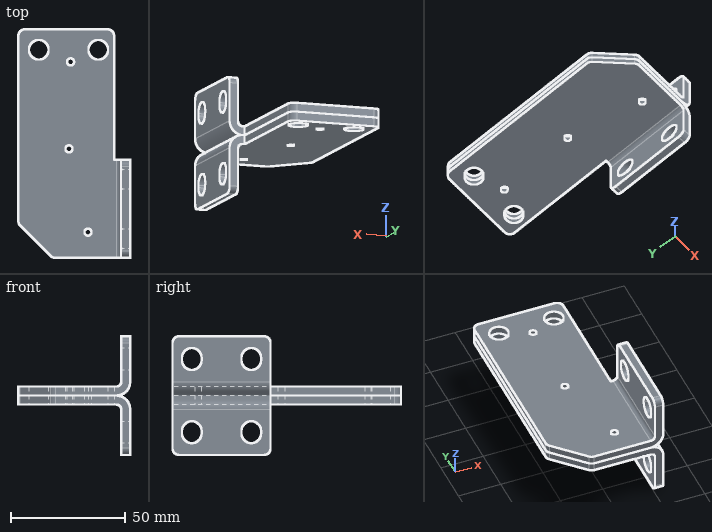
import cadquery as cq

THICKNESS = 4.0
INNER_BEND_RADIUS = 2.0
OUTER_BEND_RADIUS = INNER_BEND_RADIUS + THICKNESS
CORNER_RADIUS = 3.0
TOTAL_WIDTH = 49.0
PLATE_LENGTH = 100.0
PLATE_WIDTH = 42.0
FLANGE_LENGTH = 43.0
FLANGE_HEIGHT = 26.0
CORNER_CUT = 15.0
BEND_START = TOTAL_WIDTH - OUTER_BEND_RADIUS

MOUNT_HOLE_DIAMETER = 8.5
MOUNT_HOLE_INSET = 9.0
MOUNT_HOLE_SPACING = 26.0
SMALL_HOLE_DIAMETER = 3.0
SMALL_HOLE_CENTERS = [(22.9, 85.7), (22.2, 47.7), (30.5, 11.3)]

SLOT_WIDTH = 8.5
SLOT_LENGTH = 9.5
SLOT_SPACING = 26.0
SLOT_CENTER_HEIGHT = 16.0


def make_plate():
    """Flat plate on Z = 0 with rounded corners and one corner cut off."""
    outline = [
        (CORNER_CUT, 0),
        (BEND_START, 0),
        (BEND_START, FLANGE_LENGTH),
        (PLATE_WIDTH, FLANGE_LENGTH),
        (PLATE_WIDTH, PLATE_LENGTH),
        (0, PLATE_LENGTH),
        (0, CORNER_CUT),
    ]
    plate = cq.Workplane("XY").polyline(outline).close().extrude(THICKNESS)
    far_corners = plate.edges("|Z").edges(">Y")
    left_corners = plate.edges("|Z").edges("<X")
    cut_corner = plate.edges("|Z").edges(cq.selectors.NearestToPointSelector((CORNER_CUT, 0, 0)))
    return plate.newObject(far_corners.add(left_corners).add(cut_corner).vals()).fillet(CORNER_RADIUS)


def make_flange():
    """Bend and upright flange along the right side of the plate."""
    bend_center = (BEND_START, OUTER_BEND_RADIUS)
    inner_face = TOTAL_WIDTH - THICKNESS
    flange = (
        cq.Workplane("XZ")
        .moveTo(BEND_START, 0)
        .radiusArc((TOTAL_WIDTH, bend_center[1]), -OUTER_BEND_RADIUS)
        .lineTo(TOTAL_WIDTH, FLANGE_HEIGHT)
        .lineTo(inner_face, FLANGE_HEIGHT)
        .lineTo(inner_face, bend_center[1])
        .radiusArc((BEND_START, THICKNESS), INNER_BEND_RADIUS)
        .close()
        .extrude(-FLANGE_LENGTH)
    )
    return flange.edges("|X").edges(">Z").fillet(CORNER_RADIUS)


def plate_holes():
    """Cutters for the two mounting holes and the three small holes."""
    mount_y = PLATE_LENGTH - MOUNT_HOLE_INSET
    mount_centers = [(MOUNT_HOLE_INSET + i * MOUNT_HOLE_SPACING, mount_y) for i in range(2)]
    mounts = cq.Workplane("XY").pushPoints(mount_centers).circle(MOUNT_HOLE_DIAMETER / 2).extrude(THICKNESS)
    smalls = cq.Workplane("XY").pushPoints(SMALL_HOLE_CENTERS).circle(SMALL_HOLE_DIAMETER / 2).extrude(THICKNESS)
    return mounts.add(smalls).combine()


def flange_slots():
    """Cutters for the two upright slots, centred along the flange."""
    middle = FLANGE_LENGTH / 2
    centers = [(middle + side * SLOT_SPACING / 2, SLOT_CENTER_HEIGHT) for side in (-1, 1)]
    return (
        cq.Workplane("YZ", origin=(TOTAL_WIDTH - THICKNESS, 0, 0))
        .pushPoints(centers)
        .slot2D(SLOT_LENGTH, SLOT_WIDTH, 90)
        .extrude(THICKNESS)
    )


def make_bracket():
    """Angle bracket with its flange pointing up."""
    return make_plate().union(make_flange()).cut(plate_holes()).cut(flange_slots())


upper_bracket = make_bracket()
lower_bracket = make_bracket().mirror("XY")

result = cq.Compound.makeCompound([upper_bracket.val(), lower_bracket.val()])